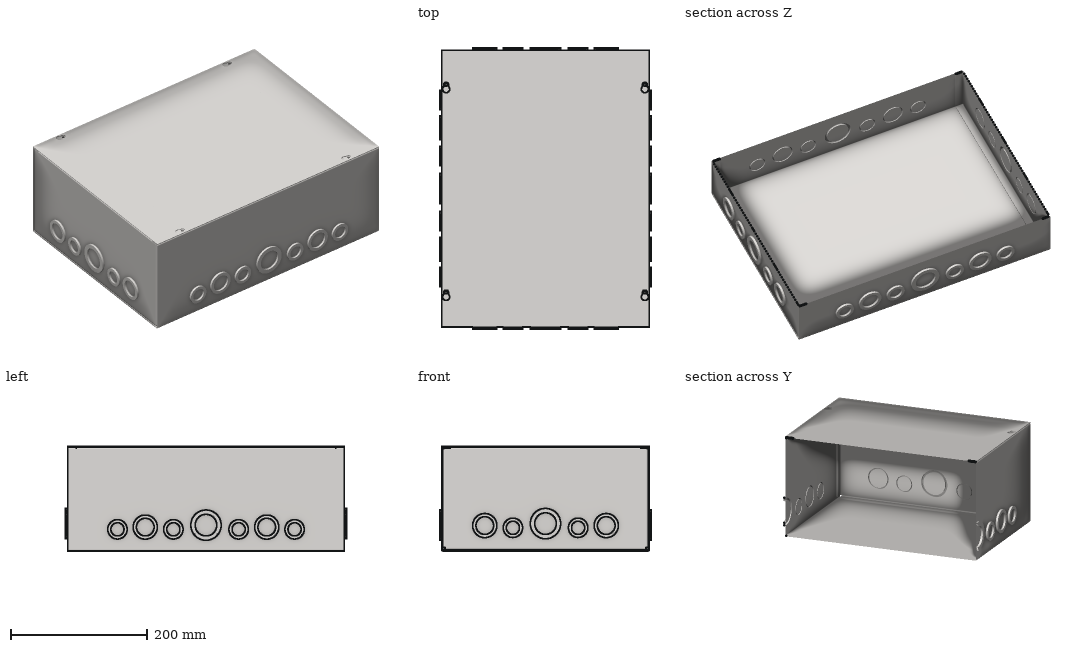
import cadquery as cq

TOTAL_LENGTH = 412.5
TOTAL_WIDTH = 311.0
TOTAL_HEIGHT = 154.0
SHEET = 1.5
EMBOSS = 3.15

BOX_LENGTH = TOTAL_LENGTH - 2 * EMBOSS
BOX_WIDTH = TOTAL_WIDTH - 2 * EMBOSS
BOX_HEIGHT = TOTAL_HEIGHT - SHEET

FLANGE = 12.8
WRAP_BEND = 2.25
END_BEND = 3.5

SCREW_SPACING = 304.7
SCREW_INSET = 6.5
SCREW_DIAMETER = 4.5
KEYHOLE_SLOT = 7.0
KEYHOLE_HEAD = 10.5
KEYHOLE_DROP = 6.5

LARGE = (44.5, 31.8, 38.0)
MEDIUM = (35.5, 26.0, 35.0)
SMALL = (28.5, 19.5, 31.8)
END_RISE = 2.25

NEAR = 48.0
MIDDLE = 89.0
FAR = 130.0
END_ROW = [(-MIDDLE, MEDIUM), (-NEAR, SMALL), (0, LARGE), (NEAR, SMALL), (MIDDLE, MEDIUM)]
SIDE_ROW = [(-FAR, SMALL), *END_ROW, (FAR, SMALL)]


def ring(plane, outer_diameter, inner_diameter, height):
    """A flat ring standing on the plane."""
    return cq.Workplane(plane).circle(outer_diameter / 2).circle(inner_diameter / 2).extrude(height)


def emboss_knockouts(wall, row, rise, origin, along, outward):
    """Press a row of hollow rings out of a wall whose outer face passes through origin."""
    origin, along, outward = cq.Vector(*origin), cq.Vector(*along), cq.Vector(*outward)
    for distance, (outer_diameter, inner_diameter, height) in row:
        centre = origin + along * distance + cq.Vector(0, 0, height + rise)
        face = cq.Plane(centre, along, outward)
        back = cq.Plane(centre - outward * SHEET, along, outward)
        hollow = ring(back, outer_diameter - 2 * SHEET, inner_diameter + 2 * SHEET, EMBOSS)
        wall = wall.union(ring(face, outer_diameter, inner_diameter, EMBOSS)).cut(hollow)
    return wall


def block(width, length, height, bottom):
    """A block centred on the Z axis, with its underside at the given height."""
    return cq.Workplane("XY").workplane(offset=bottom).rect(width, length).extrude(height)


def screw_points():
    """Screw centres, seen from above."""
    x = BOX_WIDTH / 2 - SCREW_INSET
    y = SCREW_SPACING / 2
    return [(-x, -y), (-x, y), (x, -y), (x, y)]


def space_in_wrap():
    """Room between the wrap's walls, and the opening between its top flanges."""
    inside = block(BOX_WIDTH - 2 * SHEET, BOX_LENGTH, BOX_HEIGHT - 2 * SHEET, SHEET)
    inside = inside.edges("|Y").fillet(WRAP_BEND - SHEET)
    opening = block(BOX_WIDTH - 2 * FLANGE, BOX_LENGTH, BOX_HEIGHT / 2, BOX_HEIGHT / 2)
    return inside.union(opening)


def make_wrap():
    """Bottom and both side walls, bent from one sheet, with flanges along the top."""
    wrap = block(BOX_WIDTH, BOX_LENGTH, BOX_HEIGHT, 0).edges("|Y").fillet(WRAP_BEND)
    wrap = wrap.cut(space_in_wrap())

    screw_holes = (
        cq.Workplane("XY").workplane(offset=BOX_HEIGHT - SHEET)
        .pushPoints(screw_points()).circle(SCREW_DIAMETER / 2).extrude(SHEET)
    )
    wrap = wrap.cut(screw_holes)
    for side in (-1, 1):
        wrap = emboss_knockouts(
            wrap, SIDE_ROW, 0, (side * BOX_WIDTH / 2, 0, 0), (0, 1, 0), (side, 0, 0)
        )
    return wrap


def end_pan_block(inset, length):
    """Rounded block for the end panel at -Y; inset shrinks it and its bends by the sheet thickness."""
    width = BOX_WIDTH - 2 * SHEET - 2 * inset
    height = BOX_HEIGHT - SHEET - 2 * inset
    front = -BOX_LENGTH / 2 + inset
    pan = block(width, length, height, SHEET + inset).translate((0, front + length / 2, 0))
    pan = pan.faces("<Y").edges(">Z").fillet(WRAP_BEND - inset)
    return pan.faces("<Y").edges("|Z or <Z").fillet(END_BEND - inset)


def make_end_panel():
    """End wall at -Y with flanges turned inwards on all four edges."""
    panel = end_pan_block(0, FLANGE).cut(end_pan_block(SHEET, FLANGE)).intersect(space_in_wrap())
    middle_of_flange = -BOX_LENGTH / 2 + FLANGE / 2
    for side in (-1, 1):
        corner = block(2 * END_BEND, FLANGE, END_BEND, SHEET)
        panel = panel.cut(corner.translate((side * (BOX_WIDTH / 2 - SHEET), middle_of_flange, 0)))
    return emboss_knockouts(
        panel, END_ROW, END_RISE, (0, -BOX_LENGTH / 2, 0), (1, 0, 0), (0, -1, 0)
    )


def make_cover():
    """Flat cover plate with a keyhole over each screw."""
    cover = block(BOX_WIDTH, BOX_LENGTH, SHEET, BOX_HEIGHT)
    top = cq.Workplane("XY").workplane(offset=BOX_HEIGHT)
    for x, y in screw_points():
        slot_end = top.center(x, y).circle(KEYHOLE_SLOT / 2).extrude(SHEET)
        slot = top.center(x, y - KEYHOLE_DROP / 2).rect(KEYHOLE_SLOT, KEYHOLE_DROP).extrude(SHEET)
        head = top.center(x, y - KEYHOLE_DROP).circle(KEYHOLE_HEAD / 2).extrude(SHEET)
        cover = cover.cut(slot_end).cut(slot).cut(head)
    return cover


wrap = make_wrap()
end_panel = make_end_panel()
end_panels = [end_panel, end_panel.mirror("XZ")]
cover = make_cover()

bodies = [wrap, *end_panels, cover]
result = cq.Compound.makeCompound([body.solids().val() for body in bodies])